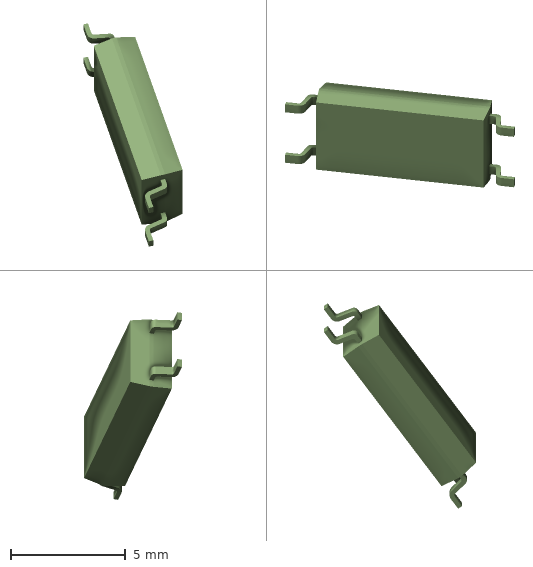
import cadquery as cq
import math

OVERALL_LENGTH = 10.2
BODY_LENGTH = 7.61
BODY_HEIGHT = 3.6
BODY_BACK_Y = 1.94
BODY_FRONT_Y = 0.07

BAND_BACK_Y = 1.11
BAND_FRONT_Y = 0.92
BACK_INSET_X = 0.11
BACK_INSET_Z = 0.14
FRONT_INSET_X = 0.07
FRONT_INSET_Z = 0.12

LEAD_THICKNESS = 0.2
LEAD_WIDTH = 0.4
LEAD_PITCH = 2.52
FOOT_LENGTH = 0.55
INNER_BEND_RADIUS = 0.1
SHOULDER_OUTER_RADIUS = 0.2
LEG_ANGLE = math.radians(78)
LEAD_EMBED = 0.2


def body_half(y_start, y_end, inset_x, inset_z):
    """Loft from the band at y_start to the smaller outer face at y_end."""
    return (
        cq.Workplane("XZ", origin=(0, y_start, 0))
        .rect(BODY_LENGTH, BODY_HEIGHT)
        .workplane(offset=y_start - y_end)
        .rect(BODY_LENGTH - 2 * inset_x, BODY_HEIGHT - 2 * inset_z)
        .loft(ruled=True)
    )


def make_body():
    band = cq.Workplane("XZ", origin=(0, BAND_BACK_Y, 0)).rect(BODY_LENGTH, BODY_HEIGHT)
    band = band.extrude(BAND_BACK_Y - BAND_FRONT_Y)
    back = body_half(BAND_BACK_Y, BODY_BACK_Y, BACK_INSET_X, BACK_INSET_Z)
    front = body_half(BAND_FRONT_Y, BODY_FRONT_Y, FRONT_INSET_X, FRONT_INSET_Z)
    return band.union(back).union(front)


def arc_point(center, radius, angle):
    return (center[0] + radius * math.cos(angle), center[1] + radius * math.sin(angle))


def make_left_lead(z_center):
    """Gull-wing strip from the foot tip into the body, tighter outside the shoulder bend."""
    inner = INNER_BEND_RADIUS
    outer = inner + LEAD_THICKNESS
    tip_x = -OVERALL_LENGTH / 2
    embedded_x = -BODY_LENGTH / 2 + LEAD_EMBED
    shoulder_y = BAND_BACK_Y - LEAD_THICKNESS

    low = (tip_x + FOOT_LENGTH, outer)
    high_y = BAND_BACK_Y - outer
    rise = high_y - low[1]
    run = (rise * math.cos(LEG_ANGLE) + inner + outer) / math.sin(LEG_ANGLE)
    high = (low[0] + run, high_y)

    center_shift = outer - SHOULDER_OUTER_RADIUS
    high_outer = (high[0] - center_shift * math.tan(LEG_ANGLE / 2), high[1] + center_shift)

    low_start = -math.pi / 2
    low_end = low_start + LEG_ANGLE
    low_mid = (low_start + low_end) / 2
    high_start = math.pi / 2
    high_end = high_start + LEG_ANGLE
    high_mid = (high_start + high_end) / 2

    return (
        cq.Workplane("XY", origin=(0, 0, z_center - LEAD_WIDTH / 2))
        .moveTo(tip_x, 0)
        .lineTo(*arc_point(low, outer, low_start))
        .threePointArc(arc_point(low, outer, low_mid), arc_point(low, outer, low_end))
        .lineTo(*arc_point(high, inner, high_end))
        .threePointArc(arc_point(high, inner, high_mid), arc_point(high, inner, high_start))
        .lineTo(embedded_x, shoulder_y)
        .lineTo(embedded_x, BAND_BACK_Y)
        .lineTo(*arc_point(high_outer, SHOULDER_OUTER_RADIUS, high_start))
        .threePointArc(
            arc_point(high_outer, SHOULDER_OUTER_RADIUS, high_mid),
            arc_point(high_outer, SHOULDER_OUTER_RADIUS, high_end),
        )
        .lineTo(*arc_point(low, inner, low_end))
        .threePointArc(arc_point(low, inner, low_mid), arc_point(low, inner, low_start))
        .lineTo(tip_x, LEAD_THICKNESS)
        .close()
        .extrude(LEAD_WIDTH)
    )


result = make_body()
for z_center in (-LEAD_PITCH / 2, LEAD_PITCH / 2):
    left_lead = make_left_lead(z_center)
    result = result.union(left_lead).union(left_lead.mirror("YZ"))